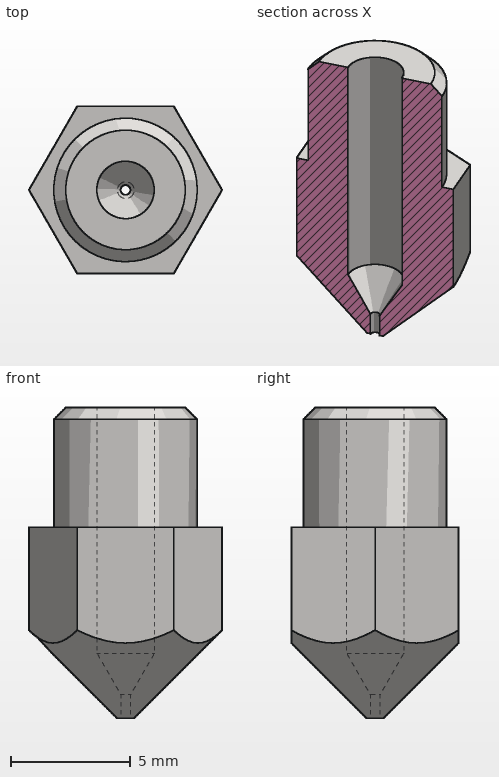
import cadquery as cq
import math

total_height = 13.0
shoulder_height = 8.0

across_flats = 7.0
across_corners = across_flats / math.cos(math.radians(30))

shank_diameter = 6.0
shank_chamfer = 0.5

tip_flat_diameter = 0.7
tip_half_angle = 45.0

feed_diameter = 2.4
outlet_diameter = 0.4
outlet_length = 1.0
bore_cone_half_angle = 30.0


def cone_height(small_diameter, large_diameter, half_angle):
    """Axial length of a cone flank between two diameters."""
    return (large_diameter - small_diameter) / 2 / math.tan(math.radians(half_angle))


def revolve_profile(points):
    """Turn a closed (radius, height) outline around the Z axis."""
    return cq.Workplane("XZ").polyline(points).close().revolve(360, (0, 0), (0, 1))


def make_hex_body():
    """Hexagonal prism with corners on X, trimmed from below by the tip cone."""
    prism = cq.Workplane("XY").polygon(6, across_corners).extrude(shoulder_height)
    rim_radius = tip_flat_diameter / 2 + shoulder_height * math.tan(math.radians(tip_half_angle))
    cone = revolve_profile([
        (0, 0),
        (tip_flat_diameter / 2, 0),
        (rim_radius, shoulder_height),
        (0, shoulder_height),
    ])
    return prism.intersect(cone)


def make_shank():
    """Cylinder standing on the shoulder with a chamfered top edge."""
    shank = (
        cq.Workplane("XY")
        .workplane(offset=shoulder_height)
        .circle(shank_diameter / 2)
        .extrude(total_height - shoulder_height)
    )
    return shank.faces(">Z").edges().chamfer(shank_chamfer)


def make_bore():
    """Through bore that narrows from the feed hole to the outlet."""
    feed_bottom = outlet_length + cone_height(outlet_diameter, feed_diameter, bore_cone_half_angle)
    return revolve_profile([
        (0, 0),
        (outlet_diameter / 2, 0),
        (outlet_diameter / 2, outlet_length),
        (feed_diameter / 2, feed_bottom),
        (feed_diameter / 2, total_height),
        (0, total_height),
    ])


result = make_hex_body().union(make_shank()).cut(make_bore())